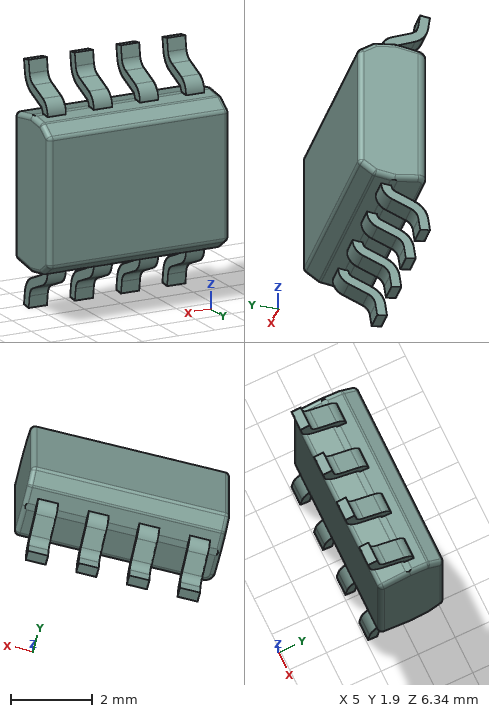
import cadquery as cq
import math


body_length = 5.0
body_half_height = 2.0
ridge_half_height = 2.01
back_y = 0.92
front_y = -0.83
front_draft_angle = 9
back_draft_angle = 8
bevel_start_y = 0.52
bevel_angle = 35
edge_radius = 0.125
pin_one_radius = 0.255

leads_per_side = 4
lead_pitch = 1.275
lead_width = 0.51
lead_thickness = 0.255
lead_root_y = 0.125
lead_root_z = 1.585
lead_tip_z = 3.17
shoulder_radius = 0.3
ankle_radius = 0.445
slope_angle = 23
foot_angle = 82
slope_length = 0.53
foot_length = 0.33


def drop(run, angle):
    """Fall in height over a horizontal run along a face at the given angle."""
    return run * math.tan(math.radians(angle))


def make_body():
    front_z = ridge_half_height - drop(-front_y, front_draft_angle)
    bevel_z = ridge_half_height - drop(bevel_start_y, back_draft_angle)
    back_z = bevel_z - drop(back_y - bevel_start_y, bevel_angle)
    upper_outline = [
        (front_y, front_z),
        (0, ridge_half_height),
        (bevel_start_y, bevel_z),
        (back_y, back_z),
    ]
    lower_outline = [(y, -z) for y, z in reversed(upper_outline)]
    body = (
        cq.Workplane("YZ")
        .polyline(upper_outline + lower_outline)
        .close()
        .extrude(body_length / 2, both=True)
    )

    body = body.edges("|Z and <X and <Y").fillet(pin_one_radius)
    end_edges = body.faces("<X or >X").edges()
    front_edges = body.faces("<Y").edges()
    back_edges = body.faces(">Y").edges()
    reach = edge_radius / 2
    bevel_edges = body.edges(cq.selectors.BoxSelector(
        (-reach, bevel_start_y - reach, -ridge_half_height),
        (reach, bevel_start_y + reach, ridge_half_height),
    ))
    rounded_edges = end_edges.add(front_edges).add(back_edges).add(bevel_edges)
    body = rounded_edges.fillet(edge_radius)

    envelope = cq.Workplane().box(2 * body_length, 4 * back_y, 2 * body_half_height)
    return body.intersect(envelope)


def bend(radius, start_angle, end_angle):
    """Y and Z travel along a bend between two headings measured from the -Y axis."""
    start = math.radians(start_angle)
    end = math.radians(end_angle)
    along = radius * abs(math.sin(end) - math.sin(start))
    rise = radius * abs(math.cos(end) - math.cos(start))
    return -along, rise


def straight(length, angle):
    """Y and Z travel along a straight stretch at a heading measured from the -Y axis."""
    heading = math.radians(angle)
    return -length * math.cos(heading), length * math.sin(heading)


def make_lead():
    """One gull-wing lead on the +Z side, centred on X = 0."""
    shoulder = bend(shoulder_radius, 90, slope_angle)
    slope = straight(slope_length, slope_angle)
    ankle = bend(ankle_radius, slope_angle, foot_angle)
    foot = straight(foot_length, foot_angle)
    tip_corner_rise = lead_thickness / 2 * math.cos(math.radians(foot_angle))
    formed_height = shoulder[1] + slope[1] + ankle[1] + foot[1] + tip_corner_rise

    centreline = (
        cq.Workplane("YZ")
        .moveTo(lead_root_y, lead_root_z)
        .lineTo(lead_root_y, lead_tip_z - formed_height)
        .tangentArcPoint(shoulder)
        .line(*slope)
        .tangentArcPoint(ankle)
        .line(*foot)
    )
    return (
        cq.Workplane("XY", origin=(0, lead_root_y, lead_root_z))
        .rect(lead_width, lead_thickness)
        .sweep(centreline)
    )


result = make_body()
upper_lead = make_lead()
lower_lead = upper_lead.mirror("XY")
for index in range(leads_per_side):
    lead_x = (index - (leads_per_side - 1) / 2) * lead_pitch
    for lead in (upper_lead, lower_lead):
        result = result.union(lead.translate((lead_x, 0, 0)))